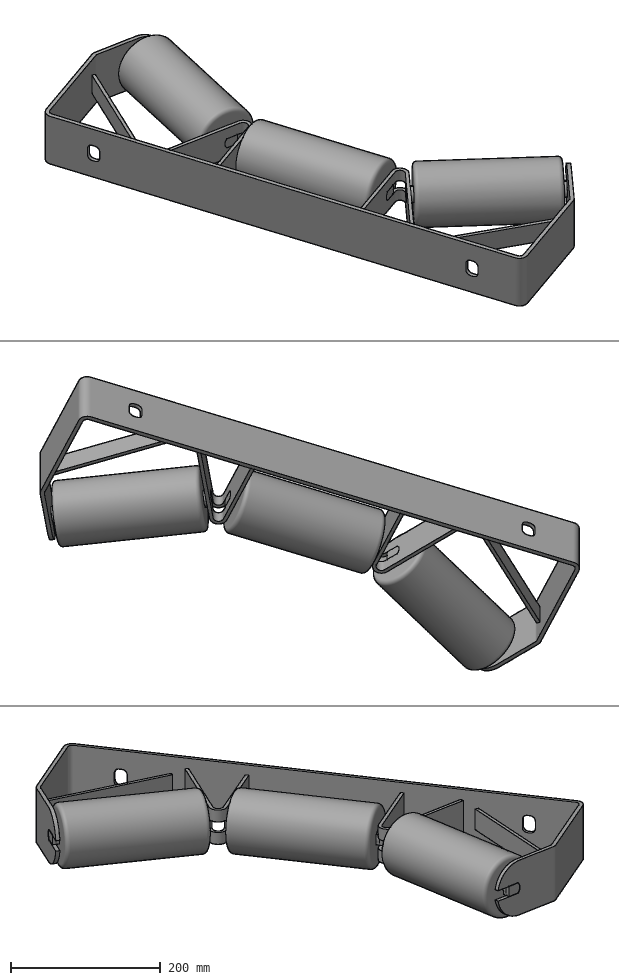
import cadquery as cq
import math


frame_length = 720.0
frame_width = 80.0
frame_thickness = 6.0
frame_bend_radius = 12.0
arm_end_beyond_axis = 32.0
mount_slot_x = 283.0
mount_slot_length = 18.0
mount_slot_height = 25.0
mount_slot_corner = 7.0

trough_angle = 30.0
roller_diameter = 89.0
roller_length = 200.0
roller_rounding = 6.0
side_roller_x = 226.0
side_roller_y = 161.0
middle_roller_y = 99.0
hub_diameter = 21.5
hub_length = 5.0
pin_height = 20.0
pin_width = 15.0

bracket_width = 50.5
bracket_thickness = 5.0
bracket_bend_radius = 12.0

brace_width = 30.0
brace_thickness = 5.0
brace_wall_y = 136.0
brace_foot_x = 213.0

clearance = 7.0

sin_trough = math.sin(math.radians(trough_angle))
cos_trough = math.cos(math.radians(trough_angle))
half_length = frame_length / 2
wall_x = half_length - frame_thickness
support_distance = roller_length / 2 + hub_length
pin_end_distance = support_distance + bracket_thickness
arm_outer_distance = support_distance + frame_thickness

bend_x = support_distance + bracket_bend_radius
bend_y = side_roller_y - (bend_x - (side_roller_x - bend_x) * cos_trough) / sin_trough


def side_point(axial, radial):
    """XY point given along (outwards) and across (upwards) the axis of the +X side roller."""
    return (
        side_roller_x + axial * cos_trough - radial * sin_trough,
        side_roller_y + axial * sin_trough + radial * cos_trough,
    )


def place_on_side(shape):
    """Move a shape built about the X axis at the origin onto the +X side roller axis."""
    tilted = shape.rotate((0, 0, 0), (0, 0, 1), trough_angle)
    return tilted.translate((side_roller_x, side_roller_y, 0))


def place_in_middle(shape):
    """Move a shape built about the X axis at the origin onto the middle roller axis."""
    return shape.translate((0, middle_roller_y, 0))


def mirrored(shape):
    return shape.mirror("YZ")


def rod(diameter, length):
    """Round bar along the X axis, centred on the origin."""
    return cq.Workplane("YZ").circle(diameter / 2).extrude(length).translate((-length / 2, 0, 0))


def pin_bar(start, end, top):
    """Bar along X from start to end, flat on both Z sides and at Y = top, rounded at the bottom."""
    half_width = pin_width / 2
    radius = pin_height / 2
    shoulder_y = -math.sqrt(radius**2 - half_width**2)
    return (
        cq.Workplane("YZ")
        .moveTo(top, half_width)
        .lineTo(shoulder_y, half_width)
        .threePointArc((-radius, 0), (shoulder_y, -half_width))
        .lineTo(top, -half_width)
        .close()
        .extrude(end - start)
        .translate((start, 0, 0))
    )


def make_roller():
    """Roller about the X axis at the origin, with a hub and a flat-sided pin at each end."""
    roller = rod(roller_diameter, roller_length).faces("<X or >X").edges().fillet(roller_rounding)
    hubs = rod(hub_diameter, 2 * support_distance)
    pins = pin_bar(-pin_end_distance, pin_end_distance, pin_height / 2)
    return roller.union(hubs).union(pins)


def arm_face_y(x, axial):
    """Y at which an upright face at x meets the arm face at an axial distance."""
    return side_roller_y + (axial - (x - side_roller_x) * cos_trough) / sin_trough


def make_frame_strip():
    """Bent strip of the +X half: half the base, the end wall and the sloping arm."""
    outer_bends = [(half_length, 0), (half_length, arm_face_y(half_length, arm_outer_distance))]
    inner_bends = [(wall_x, arm_face_y(wall_x, support_distance)), (wall_x, frame_thickness)]
    arm_end = [
        side_point(arm_outer_distance, arm_end_beyond_axis),
        side_point(support_distance, arm_end_beyond_axis),
    ]
    outline = [(0, 0), *outer_bends, *arm_end, *inner_bends, (0, frame_thickness)]
    strip = cq.Workplane("XY").polyline(outline).close().extrude(frame_width / 2, both=True)

    inner_radius = frame_bend_radius - frame_thickness
    for bends, radius in ((outer_bends, frame_bend_radius), (inner_bends, inner_radius)):
        for x, y in bends:
            strip = strip.edges(cq.NearestToPointSelector((x, y, 0))).fillet(radius)
    return strip


def arm_end_cutter():
    """Waste outside the full round at the arm end."""
    radius = frame_width / 2
    round_centre = arm_end_beyond_axis - radius
    thickness = frame_thickness + 2 * clearance
    block = cq.Workplane("XY").box(
        thickness, radius + clearance, frame_width + 2 * clearance, centered=(True, False, True)
    )
    waste = block.cut(rod(frame_width, thickness))
    return waste.translate((support_distance + frame_thickness / 2, round_centre, 0))


def mount_slot_cutter():
    return (
        cq.Workplane("XY")
        .box(mount_slot_length, frame_thickness + 2 * clearance, mount_slot_height)
        .edges("|Y")
        .fillet(mount_slot_corner)
        .translate((mount_slot_x, frame_thickness / 2, 0))
    )


def make_frame():
    arm_pin_slot = pin_bar(support_distance, arm_outer_distance, arm_end_beyond_axis + clearance)
    half = (
        make_frame_strip()
        .cut(place_on_side(arm_end_cutter()))
        .cut(place_on_side(arm_pin_slot))
        .cut(mount_slot_cutter())
    )
    return half.union(mirrored(half))


def bend_point(radius, angle):
    """XY point on the bracket bend; the angle in degrees is measured from +X."""
    turn = math.radians(angle)
    return (bend_x + radius * math.cos(turn), bend_y + radius * math.sin(turn))


def make_bracket():
    """Bracket on +X: an upright leg and a sloping leg joined by a bend, with open pin slots."""
    outer_radius = bracket_bend_radius
    inner_radius = outer_radius - bracket_thickness
    crown_angle = (180 + trough_angle) / 2

    leg_length = (bend_y + inner_radius * sin_trough - frame_thickness) / cos_trough
    strip = (
        cq.Workplane("XY")
        .moveTo(bend_x - outer_radius, frame_thickness)
        .lineTo(bend_x - outer_radius, bend_y)
        .threePointArc(bend_point(outer_radius, crown_angle), bend_point(outer_radius, trough_angle))
        .line(leg_length * sin_trough, -leg_length * cos_trough)
        .line(-bracket_thickness * cos_trough, -bracket_thickness * sin_trough)
        .lineTo(*bend_point(inner_radius, trough_angle))
        .threePointArc(bend_point(inner_radius, crown_angle), bend_point(inner_radius, 180))
        .lineTo(bend_x - inner_radius, frame_thickness)
        .close()
        .extrude(bracket_width / 2, both=True)
    )

    slot_top = bend_y + outer_radius + clearance - middle_roller_y
    upright_slot = pin_bar(support_distance, bend_x, slot_top)
    sloping_slot = pin_bar(-support_distance - bracket_bend_radius, -support_distance, slot_top)
    return strip.cut(place_in_middle(upright_slot)).cut(place_on_side(sloping_slot))


def make_brace():
    """Diagonal strip on +X, resting with its lower corners on the base and the end wall."""
    run = wall_x - brace_foot_x
    rise = brace_wall_y - frame_thickness
    return (
        cq.Workplane("XY")
        .box(math.hypot(run, rise), brace_thickness, brace_width, centered=(False, False, True))
        .rotate((0, 0, 0), (0, 0, 1), math.degrees(math.atan2(rise, run)))
        .translate((brace_foot_x, frame_thickness, 0))
    )


frame = make_frame()
middle_roller = place_in_middle(make_roller())

side_roller = place_on_side(make_roller())
bracket = make_bracket()
brace = make_brace()

paired_solids = []
for body in (side_roller, bracket, brace):
    paired_solids += [body.val(), mirrored(body).val()]

result = cq.Compound.makeCompound([frame.val(), middle_roller.val(), *paired_solids])